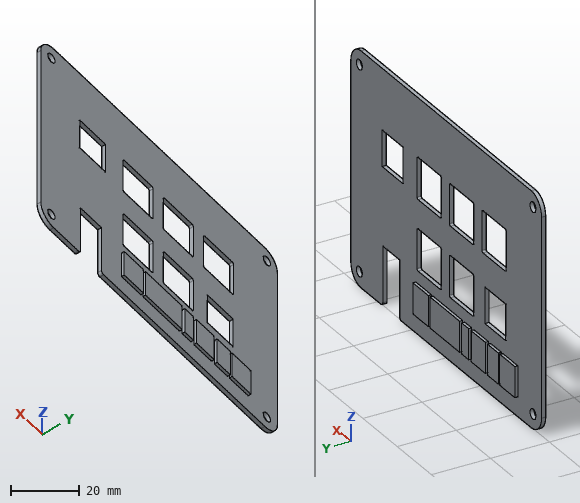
import cadquery as cq

width = 111.5
height = 79.0
total_depth = 2.5
plate_thickness = 1.5
corner_radius = 6.0

hole_diameter = 3.3
hole_inset = 5.0

large_window = 14.0
large_window_radius = 0.6
small_window = 12.2
column_pitch = 19.0
middle_column_x = -9.0
upper_row_z = 12.6
lower_row_z = -11.3
small_upper_center = (31.3, 12.8)
small_lower_center = (-28.8, -11.4)

slot_width = 9.8
slot_center_x = 32.1
slot_top_z = -19.6
slot_mouth_radius = 1.0

block_spans = [(-41.9, -33.0), (-32.2, -26.0), (-24.6, -16.3), (-14.9, -10.8), (-9.6, 7.7), (8.6, 17.7)]
block_bottom_z = -32.9
block_top_z = -22.5

front_y = -total_depth / 2
back_y = front_y + plate_thickness


def box_between(x_range, y_range, z_range):
    """Box given by its (low, high) limits along each axis."""
    ranges = (x_range, y_range, z_range)
    sizes = [high - low for low, high in ranges]
    center = tuple((low + high) / 2 for low, high in ranges)
    return cq.Workplane("XY").box(*sizes).translate(center)


def window_cutter(center, side):
    """Square prism through the plate thickness, centred at (x, z)."""
    x, z = center
    half = side / 2
    return box_between((x - half, x + half), (front_y, back_y), (z - half, z + half))


def make_plate():
    plate = box_between((-width / 2, width / 2), (front_y, back_y), (-height / 2, height / 2))
    return plate.edges("|Y").fillet(corner_radius)


def cut_slot(plate):
    left = slot_center_x - slot_width / 2
    right = slot_center_x + slot_width / 2
    bottom = -height / 2
    plate = plate.cut(box_between((left, right), (front_y, back_y), (bottom, slot_top_z)))
    mouth_edges = cq.selectors.BoxSelector(
        (left - slot_mouth_radius, front_y - plate_thickness, bottom - slot_mouth_radius),
        (right + slot_mouth_radius, back_y + plate_thickness, bottom + slot_mouth_radius),
    )
    return plate.edges("|Y").edges(mouth_edges).fillet(slot_mouth_radius)


def cut_mounting_holes(plate):
    hole_x = width / 2 - hole_inset
    hole_z = height / 2 - hole_inset
    holes = (
        cq.Workplane("XZ", origin=(0, back_y, 0))
        .rect(2 * hole_x, 2 * hole_z, forConstruction=True)
        .vertices()
        .circle(hole_diameter / 2)
        .extrude(plate_thickness)
    )
    return plate.cut(holes)


def cut_windows(plate):
    left_x = middle_column_x - column_pitch
    right_x = middle_column_x + column_pitch
    large_centers = [(x, upper_row_z) for x in (left_x, middle_column_x, right_x)]
    large_centers += [(x, lower_row_z) for x in (middle_column_x, right_x)]
    for center in large_centers:
        plate = plate.cut(window_cutter(center, large_window).edges("|Y").fillet(large_window_radius))
    for center in (small_upper_center, small_lower_center):
        plate = plate.cut(window_cutter(center, small_window))
    return plate


def add_raised_blocks(plate):
    for span in block_spans:
        plate = plate.union(box_between(span, (front_y, total_depth / 2), (block_bottom_z, block_top_z)))
    return plate


result = make_plate()
result = cut_slot(result)
result = cut_mounting_holes(result)
result = cut_windows(result)
result = add_raised_blocks(result).clean()